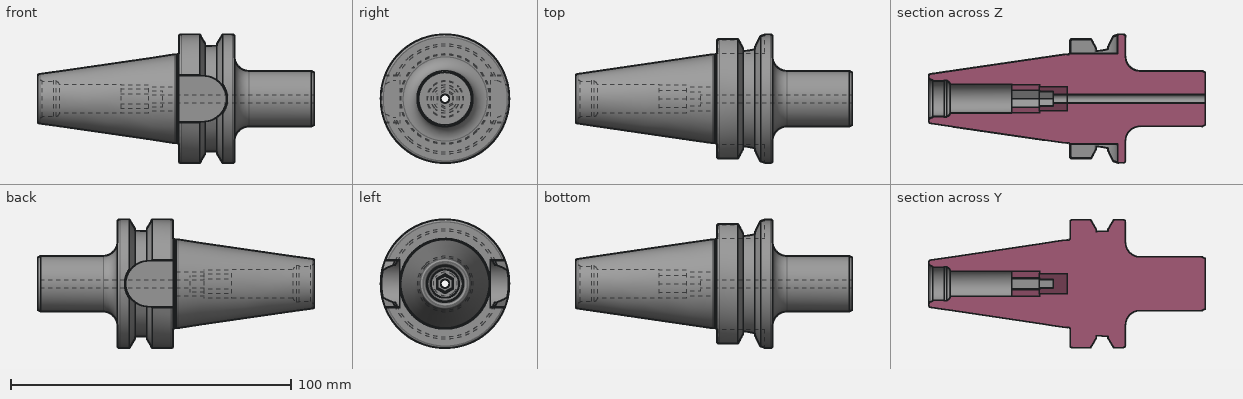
import cadquery as cq
import math

TOTAL_LENGTH = 98.8

TAPER_LENGTH = 48.8
TAPER_LARGE_DIAMETER = 31.8
TAPER_RATIO = 7 / 24
TAPER_TIP_ROUND = 0.9

TAPER_LAND_LENGTH = 0.6
NECK_DIAMETER = 31.5
NECK_STEP_LENGTH = 0.3
NECK_FILLET = 0.4

FLANGE_START = 50.4
FLANGE_LENGTH = 20.0
FLANGE_DIAMETER = 46.0
FLANGE_EDGE_ROUND = 0.9
GROOVE_START = 57.9
GROOVE_MOUTH_WIDTH = 8.1
GROOVE_DEPTH = 3.4
GROOVE_FLOOR_WIDTH = 4.15
GROOVE_ROOT_DIAMETER = 37.8

SLOT_WIDTH = 16.3
SLOT_END = 67.4
SLOT_EDGE_CHAMFER = 0.4
SLOT_FLOOR_OFFSET = 16.2
SLOT_DEPTH_MARGIN = 9.9

SHANK_DIAMETER = 20.0
SHANK_FILLET = 5.0
SHANK_CHAMFER_LENGTH = 1.2
SHANK_CHAMFER_HEIGHT = 0.6

MOUTH_DIAMETER = 15.6
MOUTH_ROUND = 1.0
MOUTH_CONE_ANGLE = 20.0
MOUTH_CONE_END_DIAMETER = 13.1
PILOT_DIAMETER = 12.5
PILOT_END = 5.5
RELIEF_DIAMETER = 13.0
RELIEF_LENGTH = 0.9
THREAD_ENTRY_ROUND = 1.2
THREAD_ENTRY_ANGLE = 60.0
THREAD_BORE_DIAMETER = 10.2
COOLANT_DIAMETER = 3.0

FRONT_SCREW_DIAMETER = 10.0
FRONT_SCREW_START = 29.6
FRONT_SCREW_LENGTH = 9.9
FRONT_HEX_FLATS = 6.0
REAR_SCREW_DIAMETER = 8.5
REAR_SCREW_LENGTH = 9.9
REAR_HEX_FLATS = 5.0
REAR_HEX_DEPTH = 4.9
REAR_SCREW_START = FRONT_SCREW_START + FRONT_SCREW_LENGTH
REAR_SCREW_END = REAR_SCREW_START + REAR_SCREW_LENGTH

POSITION_TOLERANCE = 0.001


def cylinder_x(diameter, start, end):
    return cq.Workplane("YZ", origin=(start, 0, 0)).circle(diameter / 2).extrude(end - start)


def revolve_x(profile):
    return profile.close().revolve(360, (0, 0, 0), (1, 0, 0))


def hexagon_x(flats, start, length):
    """Hexagonal prism along X with two of its corners pointing along Z."""
    corner_diameter = flats / math.cos(math.radians(30))
    prism = cq.Workplane("XY").polygon(6, corner_diameter).extrude(length)
    return prism.rotate((0, 0, 0), (0, 1, 0), 90).translate((start, 0, 0))


def make_taper():
    tip_radius = (TAPER_LARGE_DIAMETER - TAPER_LENGTH * TAPER_RATIO) / 2
    land_end = TAPER_LENGTH + TAPER_LAND_LENGTH
    neck_radius = NECK_DIAMETER / 2
    taper = revolve_x(
        cq.Workplane("XY")
        .lineTo(0, tip_radius)
        .lineTo(TAPER_LENGTH, TAPER_LARGE_DIAMETER / 2)
        .lineTo(land_end, TAPER_LARGE_DIAMETER / 2)
        .lineTo(land_end + NECK_STEP_LENGTH, neck_radius)
        .lineTo(FLANGE_START - NECK_FILLET, neck_radius)
        .radiusArc((FLANGE_START, neck_radius + NECK_FILLET), NECK_FILLET)
        .lineTo(FLANGE_START, 0)
    )
    return taper.faces("<X").edges().fillet(TAPER_TIP_ROUND)


def make_flange():
    flange_end = FLANGE_START + FLANGE_LENGTH
    flange = cylinder_x(FLANGE_DIAMETER, FLANGE_START, flange_end)
    return flange.edges().fillet(FLANGE_EDGE_ROUND).cut(make_groove())


def make_groove():
    rim = FLANGE_DIAMETER / 2
    step = rim - GROOVE_DEPTH
    root = GROOVE_ROOT_DIAMETER / 2
    middle = GROOVE_START + GROOVE_MOUTH_WIDTH / 2
    floor_start = middle - GROOVE_FLOOR_WIDTH / 2
    floor_end = middle + GROOVE_FLOOR_WIDTH / 2
    return revolve_x(
        cq.Workplane("XY")
        .moveTo(GROOVE_START, rim)
        .lineTo(floor_start, step)
        .lineTo(floor_start, root)
        .lineTo(floor_end, root)
        .lineTo(floor_end, step)
        .lineTo(GROOVE_START + GROOVE_MOUTH_WIDTH, rim)
    )


def make_shank():
    start = FLANGE_START + FLANGE_LENGTH
    radius = SHANK_DIAMETER / 2
    return revolve_x(
        cq.Workplane("XY")
        .moveTo(start, 0)
        .lineTo(start, radius + SHANK_FILLET)
        .radiusArc((start + SHANK_FILLET, radius), -SHANK_FILLET)
        .lineTo(TOTAL_LENGTH - SHANK_CHAMFER_LENGTH, radius)
        .lineTo(TOTAL_LENGTH, radius - SHANK_CHAMFER_HEIGHT)
        .lineTo(TOTAL_LENGTH, 0)
    )


def make_drive_slot(side):
    """Round-ended slot cutter on the +Y (side = 1) or -Y (side = -1) flank."""
    half = SLOT_WIDTH / 2
    straight_end = SLOT_END - half
    outline = (
        cq.Workplane("XZ", origin=(0, side * SLOT_FLOOR_OFFSET, 0))
        .moveTo(FLANGE_START, -half)
        .lineTo(straight_end, -half)
        .threePointArc((SLOT_END, 0), (straight_end, half))
        .lineTo(FLANGE_START, half)
        .close()
    )
    return outline.extrude(-side * SLOT_DEPTH_MARGIN)


def is_slot_rim_edge(edge, side):
    """True for slot edges on the flange rim and on the flange face toward the taper."""
    center = edge.Center()
    on_flank = center.y * side > SLOT_FLOOR_OFFSET + SLOT_EDGE_CHAMFER
    on_side_wall = abs(abs(center.z) - SLOT_WIDTH / 2) < POSITION_TOLERANCE
    before_groove = center.x < GROOVE_START
    at_round_end = GROOVE_START + GROOVE_MOUTH_WIDTH < center.x < SLOT_END
    return on_flank and ((on_side_wall and before_groove) or at_round_end)


def cut_drive_slot(body, side):
    body = body.cut(make_drive_slot(side))
    rim_edges = [edge for edge in body.edges().vals() if is_slot_rim_edge(edge, side)]
    return body.newObject(rim_edges).chamfer(SLOT_EDGE_CHAMFER)


def make_bore():
    mouth = MOUTH_DIAMETER / 2
    mouth_cone_end = MOUTH_CONE_END_DIAMETER / 2
    pilot = PILOT_DIAMETER / 2
    relief = RELIEF_DIAMETER / 2
    thread = THREAD_BORE_DIAMETER / 2
    mouth_slope = math.radians(MOUTH_CONE_ANGLE)
    round_depth = MOUTH_ROUND * (1 - math.sin(mouth_slope))
    round_radius = mouth - MOUTH_ROUND * math.cos(mouth_slope)
    step_depth = round_depth + (round_radius - mouth_cone_end) / math.tan(mouth_slope)
    relief_end = PILOT_END + RELIEF_LENGTH
    slope = math.radians(THREAD_ENTRY_ANGLE)
    cone_start = relief_end + THREAD_ENTRY_ROUND * math.sin(slope)
    cone_radius = pilot - THREAD_ENTRY_ROUND * (1 - math.cos(slope))
    cone_end = cone_start + (cone_radius - thread) / math.tan(slope)
    return revolve_x(
        cq.Workplane("XY")
        .lineTo(0, mouth)
        .radiusArc((round_depth, round_radius), -MOUTH_ROUND)
        .lineTo(step_depth, mouth_cone_end)
        .lineTo(step_depth, pilot)
        .lineTo(PILOT_END, pilot)
        .lineTo(PILOT_END, relief)
        .lineTo(relief_end, relief)
        .lineTo(relief_end, pilot)
        .radiusArc((cone_start, cone_radius), THREAD_ENTRY_ROUND)
        .lineTo(cone_end, thread)
        .lineTo(FRONT_SCREW_START, thread)
        .lineTo(FRONT_SCREW_START, 0)
    )


def make_holder():
    holder = make_taper().union(make_flange()).union(make_shank())
    for side in (-1, 1):
        holder = cut_drive_slot(holder, side)
    holder = holder.cut(make_bore())
    holder = holder.cut(cylinder_x(FRONT_SCREW_DIAMETER, FRONT_SCREW_START, REAR_SCREW_START))
    holder = holder.cut(cylinder_x(REAR_SCREW_DIAMETER, REAR_SCREW_START, REAR_SCREW_END))
    return holder.cut(cylinder_x(COOLANT_DIAMETER, REAR_SCREW_END, TOTAL_LENGTH))


def make_front_screw():
    screw = cylinder_x(FRONT_SCREW_DIAMETER, FRONT_SCREW_START, REAR_SCREW_START)
    return screw.cut(hexagon_x(FRONT_HEX_FLATS, FRONT_SCREW_START, FRONT_SCREW_LENGTH))


def make_rear_screw():
    screw = cylinder_x(REAR_SCREW_DIAMETER, REAR_SCREW_START, REAR_SCREW_END)
    screw = screw.cut(hexagon_x(REAR_HEX_FLATS, REAR_SCREW_START, REAR_HEX_DEPTH))
    return screw.cut(cylinder_x(COOLANT_DIAMETER, REAR_SCREW_START, REAR_SCREW_END))


holder = make_holder()
front_screw = make_front_screw()
rear_screw = make_rear_screw()

result = cq.Compound.makeCompound([holder.val(), front_screw.val(), rear_screw.val()])